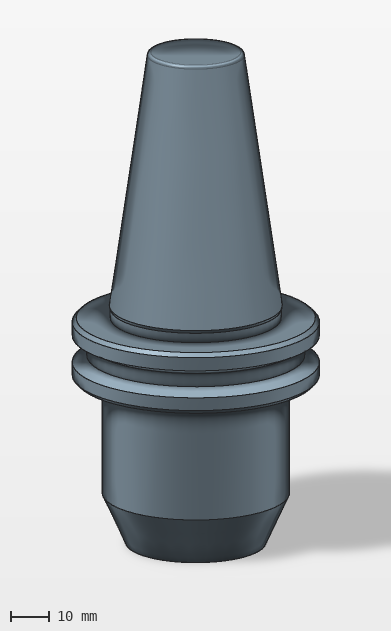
import cadquery as cq
import math

total_height = 131.4

nose_tip_radius = 18.0
nose_radius = 24.0
nose_cone_height = 13.3
nose_root_fillet = 0.7

flange_radius = 31.73
flange_bottom = 43.9
flange_top = 60.2
flange_chamfer = 1.0
groove_radius = 28.0
groove_bottom = 50.2
groove_top = 53.7
groove_flank_height = 1.8

neck_radius = 22.0
gauge_radius = 22.2
gauge_height = 63.5
gauge_step_height = 0.8
shank_top_radius = 12.4
shank_fillet = 0.9

nose = [
    (0, 0),
    (nose_tip_radius, 0),
    (nose_radius, nose_cone_height),
    (nose_radius, flange_bottom - nose_root_fillet),
]
flange = [
    (flange_radius - flange_chamfer, flange_bottom),
    (flange_radius, flange_bottom + flange_chamfer),
    (flange_radius, groove_bottom - groove_flank_height),
    (groove_radius, groove_bottom),
    (groove_radius, groove_top),
    (flange_radius, groove_top + groove_flank_height),
    (flange_radius, flange_top - flange_chamfer),
    (flange_radius - flange_chamfer, flange_top),
]
shank = [
    (neck_radius, flange_top),
    (neck_radius, gauge_height - gauge_step_height),
    (gauge_radius, gauge_height),
    (shank_top_radius, total_height),
    (0, total_height),
]

arc_middle_offset = nose_root_fillet * (1 - math.sqrt(0.5))
root_arc_middle = (nose_radius + arc_middle_offset, flange_bottom - arc_middle_offset)
root_arc_end = (nose_radius + nose_root_fillet, flange_bottom)

body = (
    cq.Workplane("XZ")
    .polyline(nose)
    .threePointArc(root_arc_middle, root_arc_end)
    .polyline(flange + shank, includeCurrent=True)
    .close()
    .revolve(360, (0, 0, 0), (0, 1, 0))
)

result = body.faces(">Z").edges().fillet(shank_fillet)